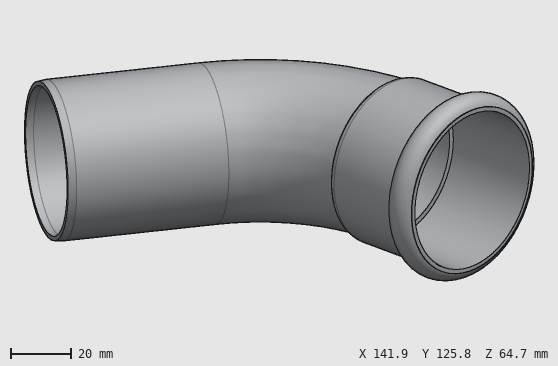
import cadquery as cq
import math

tube_diameter = 54.0
bore_diameter = 51.0
bend_radius = 64.7
bend_angle = 60.0
spigot_length = 55.2

taper_length = 2.8
taper_depth = 0.35

socket_length = 35.2
socket_diameter = 57.5
socket_bore_diameter = 54.5
shoulder_radius = 3.0
shoulder_start = -3.7

bead_outer_diameter = 64.7
bead_width = 10.0

bend_center_y = -bend_radius
angle = math.radians(bend_angle)
bend_end = (
    -bend_radius * math.sin(angle),
    bend_center_y + bend_radius * math.cos(angle),
    0,
)
spigot_direction = (-math.cos(angle), -math.sin(angle), 0)


def bent_rod(diameter):
    """Solid round rod following the bend."""
    return (
        cq.Workplane("YZ")
        .circle(diameter / 2)
        .revolve(bend_angle, (bend_center_y, 0), (bend_center_y, 1))
    )


def spigot_rod(diameter):
    """Solid round rod running on from the end of the bend and tapering at its tip."""
    plane = cq.Plane(origin=bend_end, xDir=(0, 0, 1), normal=spigot_direction)
    return (
        cq.Workplane(plane)
        .circle(diameter / 2)
        .extrude(spigot_length)
        .faces(cq.selectors.DirectionMinMaxSelector(cq.Vector(*spigot_direction)))
        .edges()
        .chamfer(taper_length, taper_depth)
    )


def socket_body():
    """Cylindrical socket with a rounded shoulder where it meets the bend."""
    return (
        cq.Workplane("YZ", origin=(shoulder_start, 0, 0))
        .circle(socket_diameter / 2)
        .extrude(socket_length - shoulder_start)
        .faces("<X")
        .edges()
        .fillet(shoulder_radius)
    )


def bead():
    """Ring with a half-round rim, ending flush with the socket mouth."""
    rim_radius = bead_width / 2
    rim_center_radius = bead_outer_diameter / 2 - rim_radius
    bead_start = socket_length - bead_width
    return (
        cq.Workplane("XY")
        .moveTo(bead_start, 0)
        .lineTo(bead_start, rim_center_radius)
        .threePointArc(
            (bead_start + rim_radius, bead_outer_diameter / 2),
            (socket_length, rim_center_radius),
        )
        .lineTo(socket_length, 0)
        .close()
        .revolve(360, (0, 0), (1, 0))
    )


def socket_bore():
    return cq.Workplane("YZ").circle(socket_bore_diameter / 2).extrude(socket_length)


outside = bent_rod(tube_diameter).union(spigot_rod(tube_diameter)).union(socket_body()).union(bead())
result = outside.cut(bent_rod(bore_diameter)).cut(spigot_rod(bore_diameter)).cut(socket_bore())